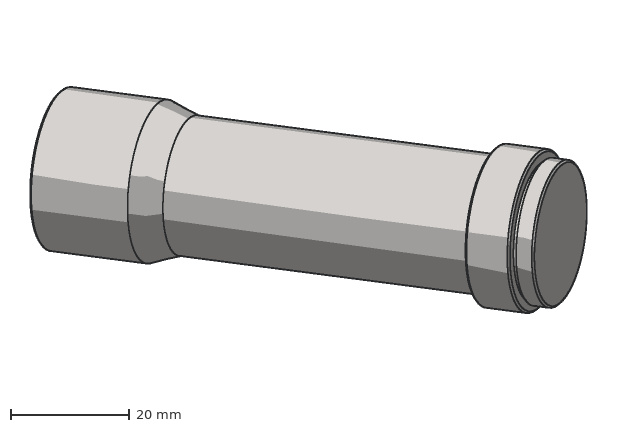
import cadquery as cq

length = 91.1
head_diameter = 28.1
edge_chamfer = 0.4

head_length = 17.9
cone_length = 5.65
barrel_diameter = 24.05

collar_start = 79.1
collar_length = 8.1
collar_diameter = head_diameter

ring_length = 3.2
ring_diameter = 25.3
groove_diameter = barrel_diameter


def cylinder(start, end, diameter):
    """Solid cylinder along X between two stations."""
    return cq.Workplane("YZ").workplane(offset=start).circle(diameter / 2).extrude(end - start)


def cone(start, end, start_diameter, end_diameter):
    """Solid truncated cone along X between two stations."""
    profile = [(start, 0), (start, start_diameter / 2), (end, end_diameter / 2), (end, 0)]
    return cq.Workplane("XY").polyline(profile).close().revolve(360, (0, 0, 0), (1, 0, 0))


cone_end = head_length + cone_length
collar_end = collar_start + collar_length
ring_start = length - ring_length

head = cylinder(0, head_length, head_diameter).faces("<X").chamfer(edge_chamfer)
transition = cone(head_length, cone_end, head_diameter, barrel_diameter)
barrel = cylinder(cone_end, collar_start, barrel_diameter)
collar = cylinder(collar_start, collar_end, collar_diameter).faces("<X or >X").chamfer(edge_chamfer)
groove = cylinder(collar_end, ring_start, groove_diameter)
ring = cylinder(ring_start, length, ring_diameter).faces(">X").chamfer(edge_chamfer)

result = head.union(transition).union(barrel).union(collar).union(groove).union(ring)